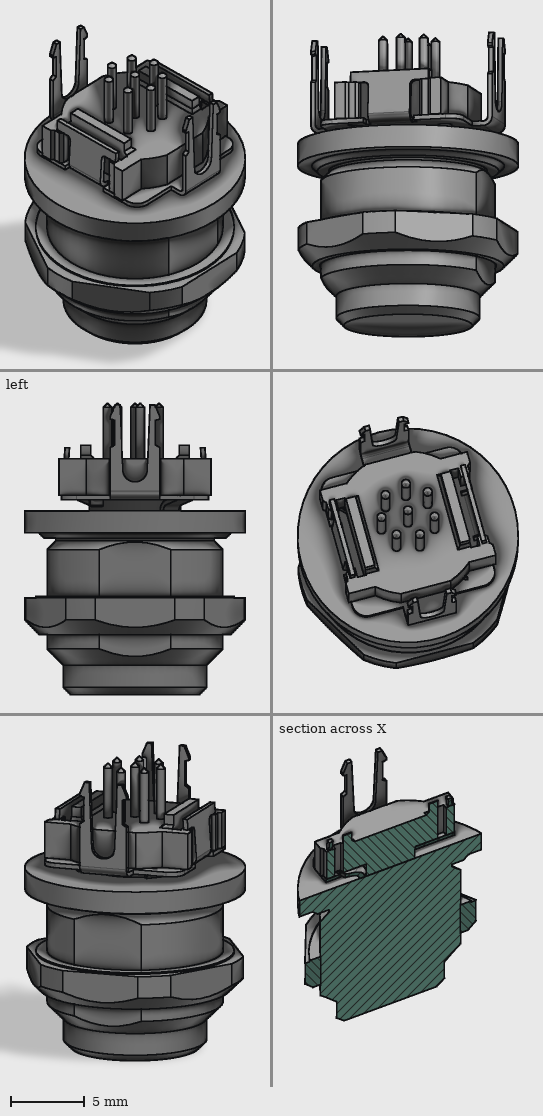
import cadquery as cq
import math


HEIGHT = 19.85
SPIGOT_R = 4.88
SPIGOT_CHAMFER = 0.52
SPIGOT_TOP = 2.02
THREAD_R = 6.0
THREAD_TOP = 9.89
THREAD_FLAT = 5.48
GROOVE_R = 5.4
GROOVE_TOP = 10.65
SEAL_R = 6.55
SEAL_TAPER = 0.38
FLANGE_R = 7.5
FLANGE_BOTTOM = 11.02
FLANGE_TOP = 12.53

NUT_SIDES = 6
NUT_BOTTOM = 4.1
NUT_TOP = 6.61
NUT_ACROSS_FLATS = 14.0
NUT_CORNER_R = FLANGE_R
NUT_CHAMFER = 1.0
WASHER_FACE_R = 6.75
WASHER_FACE_HEIGHT = 0.1

SHEET = 0.32
BEND_INNER_R = 0.3
BEND_OUTER_R = BEND_INNER_R + SHEET
PLATE_BOTTOM = FLANGE_TOP + 0.73
PLATE_TOP = PLATE_BOTTOM + SHEET
PLATE_HALF = 5.0
PLATE_CORNER_R = 1.0

ARM_REACH = 6.4
ARM_OVERLAP = 0.2
ARM_HALF_WIDTH = 1.69
ARM_TOP = FLANGE_TOP + 7.2
ARM_TOP_OUTER = 1.35
ARM_TOP_INNER = 1.01
HOOK_TIP_TOP = FLANGE_TOP + 6.41
HOOK_TIP_BOTTOM = FLANGE_TOP + 6.23
HOOK_ROOT = FLANGE_TOP + 6.15
NECK_HALF_WIDTH = 1.39
NECK_BOTTOM = FLANGE_TOP + 4.49
NECK_TAPER = 0.2
ARM_SLOT_R = 0.83
ARM_SLOT_CENTRE = FLANGE_TOP + 2.8

WALL_BASE_Y = 4.96
WALL_TOP_Y = 4.76
WALL_TOP = FLANGE_TOP + 4.29
WALL_STEM_HALF = 1.47
WALL_HEAD_HALF = 2.74
WALL_FILLET = 0.34
WALL_NOTCH_HALF = 1.79
WALL_NOTCH_Y = 4.2

TONGUE_WIDTH = 1.49
TONGUE_SLOPE = 17.0
TONGUE_TIP_U = 3.47
TONGUE_BEND_R = 0.44
TONGUE_ROOT_U = 5.05
SLIT_WIDTH = 0.24
TONGUE_ANGLES = (45.0, 225.0)

INSERT_TOP = FLANGE_TOP + 3.55
INSERT_R = 5.0
INSERT_HALF_X = 4.68
BLOCK_HALF_X = 3.75
BLOCK_HALF_Y = 5.18
RECESS_HALF_X = 2.8
RECESS_Y = 4.98
STEP_CHAMFER = BLOCK_HALF_Y - RECESS_Y
INSERT_NECK_R = 3.12
SLOT_HALF_X = 2.8
SLOT_INNER_Y = 3.7
SLOT_OUTER_Y = 4.3
OPENING_HALF_X = 2.15
OPENING_CHAMFER = 0.2
RIB_TOP = FLANGE_TOP + 4.47
RIB_HALF_X = 2.5
RIB_INNER_Y = 3.0
RIB_FLARE = 0.22
PEG_X = 3.33
PEG_Y = 2.6
PEG_R = 0.45
PEG_DROP = 0.48
PEG_CHAMFER = 0.12
PIN_R = 0.3
PIN_SHOULDER = FLANGE_TOP + 7.03
PIN_CIRCLE_R = 1.87
PIN_PITCH = 50.4
PINS_PER_SIDE = 3


def disc(radius, bottom, top):
    return cq.Workplane("XY").workplane(offset=bottom).circle(radius).extrude(top - bottom)


def block(x0, x1, y0, y1, z0, z1):
    return cq.Workplane("XY").box(x1 - x0, y1 - y0, z1 - z0, centered=False).translate((x0, y0, z0))


def both_sides(shape):
    """The shape together with its copy turned half a turn about Z."""
    return shape.union(shape.rotate((0, 0, 0), (0, 0, 1), 180))



def make_housing():
    threaded = (
        cq.Workplane("XZ")
        .moveTo(0, 0)
        .lineTo(SPIGOT_R - SPIGOT_CHAMFER, 0)
        .lineTo(SPIGOT_R, SPIGOT_CHAMFER)
        .lineTo(SPIGOT_R, SPIGOT_TOP)
        .lineTo(THREAD_R, SPIGOT_TOP + THREAD_R - SPIGOT_R)
        .lineTo(THREAD_R, THREAD_TOP)
        .lineTo(GROOVE_R, THREAD_TOP + THREAD_R - GROOVE_R)
        .lineTo(GROOVE_R, GROOVE_TOP)
        .lineTo(0, GROOVE_TOP)
        .close()
        .revolve(360, (0, 0, 0), (0, 1, 0))
    )
    flats = block(-THREAD_FLAT, THREAD_FLAT, -THREAD_R, THREAD_R, 0, GROOVE_TOP)
    flange = (
        cq.Workplane("XZ")
        .moveTo(0, GROOVE_TOP)
        .lineTo(SEAL_R - SEAL_TAPER, GROOVE_TOP)
        .lineTo(SEAL_R, FLANGE_BOTTOM)
        .lineTo(FLANGE_R, FLANGE_BOTTOM)
        .lineTo(FLANGE_R, FLANGE_TOP)
        .lineTo(0, FLANGE_TOP)
        .close()
        .revolve(360, (0, 0, 0), (0, 1, 0))
    )
    return threaded.intersect(flats).union(flange)



def make_nut():
    half_side_angle = 180 / NUT_SIDES
    corner_diameter = NUT_ACROSS_FLATS / math.cos(math.radians(half_side_angle))
    hexagon = (
        cq.Workplane("XY")
        .workplane(offset=NUT_BOTTOM)
        .polygon(NUT_SIDES, corner_diameter)
        .extrude(NUT_TOP - NUT_BOTTOM)
        .rotate((0, 0, 0), (0, 0, 1), half_side_angle)
    )
    turned = disc(NUT_CORNER_R, NUT_BOTTOM, NUT_TOP).faces("<Z").chamfer(NUT_CHAMFER)
    face_top = NUT_TOP + WASHER_FACE_HEIGHT
    washer_face = disc(WASHER_FACE_R, NUT_TOP, face_top)
    return hexagon.intersect(turned).union(washer_face).cut(disc(THREAD_R, NUT_BOTTOM, face_top))



def bent_strip(reach, inner_end, top, top_reach):
    """Side section of a strip that runs outward along the plate and bends up, drawn in the YZ plane."""
    bend_u = reach - BEND_OUTER_R
    bend_z = PLATE_BOTTOM + BEND_OUTER_R
    diagonal = math.sqrt(0.5)
    outer_mid = (bend_u + BEND_OUTER_R * diagonal, bend_z - BEND_OUTER_R * diagonal)
    inner_mid = (bend_u + BEND_INNER_R * diagonal, bend_z - BEND_INNER_R * diagonal)
    return (
        cq.Workplane("YZ")
        .moveTo(inner_end, PLATE_BOTTOM)
        .lineTo(bend_u, PLATE_BOTTOM)
        .threePointArc(outer_mid, (reach, bend_z))
        .lineTo(top_reach, top)
        .lineTo(top_reach - SHEET, top)
        .lineTo(reach - SHEET, bend_z)
        .threePointArc(inner_mid, (bend_u, PLATE_TOP))
        .lineTo(inner_end, PLATE_TOP)
        .close()
    )


def make_arm():
    """Forked arm with snap hooks, standing on the +Y side."""
    section = bent_strip(ARM_REACH, PLATE_HALF - ARM_OVERLAP, ARM_TOP, ARM_REACH)
    strip = section.extrude(ARM_HALF_WIDTH, both=True)
    right_edge = [
        (ARM_HALF_WIDTH, PLATE_BOTTOM),
        (ARM_HALF_WIDTH, NECK_BOTTOM - NECK_TAPER),
        (NECK_HALF_WIDTH, NECK_BOTTOM),
        (NECK_HALF_WIDTH, HOOK_ROOT),
        (ARM_HALF_WIDTH, HOOK_TIP_BOTTOM),
        (ARM_HALF_WIDTH, HOOK_TIP_TOP),
        (ARM_TOP_OUTER, ARM_TOP),
    ]
    left_edge = [(-x, z) for x, z in reversed(right_edge)]
    outline = cq.Workplane("XZ").polyline(right_edge + left_edge).close().extrude(-ARM_REACH)
    slot = (
        cq.Workplane("XZ")
        .moveTo(-ARM_TOP_INNER, ARM_TOP)
        .lineTo(-ARM_SLOT_R, ARM_SLOT_CENTRE)
        .threePointArc((0, ARM_SLOT_CENTRE - ARM_SLOT_R), (ARM_SLOT_R, ARM_SLOT_CENTRE))
        .lineTo(ARM_TOP_INNER, ARM_TOP)
        .close()
        .extrude(-ARM_REACH)
    )
    return strip.intersect(outline).cut(slot)


def make_wall():
    """Leaning T-shaped wall on the +Y side; its head rests on the insert."""
    strip = bent_strip(WALL_BASE_Y, WALL_NOTCH_Y, WALL_TOP, WALL_TOP_Y).extrude(WALL_HEAD_HALF, both=True)
    fillet_x = WALL_STEM_HALF + WALL_FILLET
    fillet_z = INSERT_TOP - WALL_FILLET
    mid_offset = WALL_FILLET * math.sqrt(0.5)
    outline = (
        cq.Workplane("XZ")
        .moveTo(-WALL_STEM_HALF, PLATE_BOTTOM)
        .lineTo(WALL_STEM_HALF, PLATE_BOTTOM)
        .lineTo(WALL_STEM_HALF, fillet_z)
        .threePointArc((fillet_x - mid_offset, fillet_z + mid_offset), (fillet_x, INSERT_TOP))
        .lineTo(WALL_HEAD_HALF, INSERT_TOP)
        .lineTo(WALL_HEAD_HALF, WALL_TOP)
        .lineTo(-WALL_HEAD_HALF, WALL_TOP)
        .lineTo(-WALL_HEAD_HALF, INSERT_TOP)
        .lineTo(-fillet_x, INSERT_TOP)
        .threePointArc((mid_offset - fillet_x, fillet_z + mid_offset), (-WALL_STEM_HALF, fillet_z))
        .close()
        .extrude(-WALL_BASE_Y)
    )
    return strip.intersect(outline)


def make_tongue():
    """Tongue along +X that slopes down from the plate and turns down onto the flange."""
    slope = math.radians(TONGUE_SLOPE)
    turn = (math.pi / 2 - slope) / 2
    bend_u = TONGUE_TIP_U + TONGUE_BEND_R
    top_r = TONGUE_BEND_R + SHEET

    def on_bend(radius, angle):
        return (bend_u - radius * math.cos(angle), FLANGE_TOP + radius * math.sin(angle))

    def meets(point, z):
        return (point[0] + (z - point[1]) / math.tan(slope), z)

    under = on_bend(TONGUE_BEND_R, 2 * turn)
    over = on_bend(top_r, 2 * turn)
    return (
        cq.Workplane("XZ")
        .moveTo(TONGUE_ROOT_U, PLATE_BOTTOM)
        .lineTo(*meets(under, PLATE_BOTTOM))
        .lineTo(*under)
        .threePointArc(on_bend(TONGUE_BEND_R, turn), on_bend(TONGUE_BEND_R, 0))
        .lineTo(*on_bend(top_r, 0))
        .threePointArc(on_bend(top_r, turn), over)
        .lineTo(*meets(over, PLATE_TOP))
        .lineTo(TONGUE_ROOT_U, PLATE_TOP)
        .close()
        .extrude(TONGUE_WIDTH / 2, both=True)
    )


def make_tongue_window():
    """Opening around a tongue along +X, with a rounded slit end on either side of its root."""
    half_width = TONGUE_WIDTH / 2 + SLIT_WIDTH
    window = block(0, TONGUE_ROOT_U, -half_width, half_width, PLATE_BOTTOM, PLATE_TOP)
    for side in (-1, 1):
        slit_y = side * (half_width - SLIT_WIDTH / 2)
        slit_end = disc(SLIT_WIDTH / 2, PLATE_BOTTOM, PLATE_TOP).translate((TONGUE_ROOT_U, slit_y, 0))
        window = window.union(slit_end)
    return window


def make_clip():
    clip = (
        block(-PLATE_HALF, PLATE_HALF, -PLATE_HALF, PLATE_HALF, PLATE_BOTTOM, PLATE_TOP)
        .edges("|Z")
        .fillet(PLATE_CORNER_R)
    )
    notch = block(-WALL_NOTCH_HALF, WALL_NOTCH_HALF, WALL_NOTCH_Y, PLATE_HALF, PLATE_BOTTOM, PLATE_TOP)
    clip = clip.cut(both_sides(notch))
    for angle in TONGUE_ANGLES:
        clip = clip.cut(make_tongue_window().rotate((0, 0, 0), (0, 0, 1), angle))
    for angle in TONGUE_ANGLES:
        clip = clip.union(make_tongue().rotate((0, 0, 0), (0, 0, 1), angle))
    clip = clip.cut(disc(INSERT_NECK_R, PLATE_BOTTOM, PLATE_TOP)).cut(make_pegs())
    clip = clip.union(both_sides(make_arm().rotate((0, 0, 0), (0, 0, 1), 90)))
    return clip.union(both_sides(make_wall()))



def make_pegs():
    peg = (
        disc(PEG_R, PLATE_BOTTOM - PEG_DROP, PLATE_TOP)
        .faces("<Z")
        .chamfer(PEG_CHAMFER)
        .translate((PEG_X, -PEG_Y, 0))
    )
    return both_sides(peg)


def make_insert_block():
    height = INSERT_TOP - PLATE_TOP
    sides = block(-INSERT_HALF_X, INSERT_HALF_X, -INSERT_R, INSERT_R, PLATE_TOP, INSERT_TOP)
    lobes = disc(INSERT_R, PLATE_TOP, INSERT_TOP).intersect(sides)
    middle = block(-BLOCK_HALF_X, BLOCK_HALF_X, -BLOCK_HALF_Y, BLOCK_HALF_Y, PLATE_TOP, INSERT_TOP)
    right_edge = [
        (RECESS_HALF_X + STEP_CHAMFER, BLOCK_HALF_Y),
        (RECESS_HALF_X, RECESS_Y),
        (OPENING_HALF_X + OPENING_CHAMFER, RECESS_Y),
        (OPENING_HALF_X, RECESS_Y - OPENING_CHAMFER),
        (OPENING_HALF_X, SLOT_OUTER_Y),
        (SLOT_HALF_X, SLOT_OUTER_Y),
        (SLOT_HALF_X, SLOT_INNER_Y),
    ]
    left_edge = [(-x, y) for x, y in reversed(right_edge)]
    pocket = (
        cq.Workplane("XY")
        .workplane(offset=PLATE_TOP)
        .polyline(right_edge + left_edge)
        .close()
        .extrude(height)
    )
    return lobes.union(middle).cut(both_sides(pocket))


def make_rib():
    """Raised bar along the +Y slot, flared at its foot on the inner side and at both ends."""
    bar = block(-RIB_HALF_X, RIB_HALF_X, RIB_INNER_Y, SLOT_INNER_Y, INSERT_TOP, RIB_TOP)
    foot = block(
        -RIB_HALF_X - RIB_FLARE, RIB_HALF_X + RIB_FLARE,
        RIB_INNER_Y - RIB_FLARE, SLOT_INNER_Y,
        INSERT_TOP - RIB_FLARE, INSERT_TOP + RIB_FLARE,
    )
    foot = foot.faces(">Z").edges("<Y or <X or >X").chamfer(RIB_FLARE)
    return bar.union(foot)


def make_pin(x, y):
    shaft = disc(PIN_R, INSERT_TOP, PIN_SHOULDER)
    tip = cq.Workplane(cq.Solid.makeCone(PIN_R, 0, HEIGHT - PIN_SHOULDER, cq.Vector(0, 0, PIN_SHOULDER)))
    return shaft.union(tip).translate((x, y, 0))


def make_insert():
    insert = make_insert_block()
    insert = insert.union(disc(INSERT_NECK_R, FLANGE_TOP, PLATE_TOP))
    insert = insert.union(make_pegs())
    insert = insert.union(both_sides(make_rib()))
    insert = insert.union(make_pin(0, 0))
    for index in range(-PINS_PER_SIDE, PINS_PER_SIDE + 1):
        angle = math.radians(index * PIN_PITCH)
        insert = insert.union(make_pin(PIN_CIRCLE_R * math.sin(angle), PIN_CIRCLE_R * math.cos(angle)))
    return insert


housing = make_housing()
nut = make_nut()
clip = make_clip()
insert = make_insert()

result = cq.Compound.makeCompound([housing.val(), nut.val(), clip.val(), insert.val()])